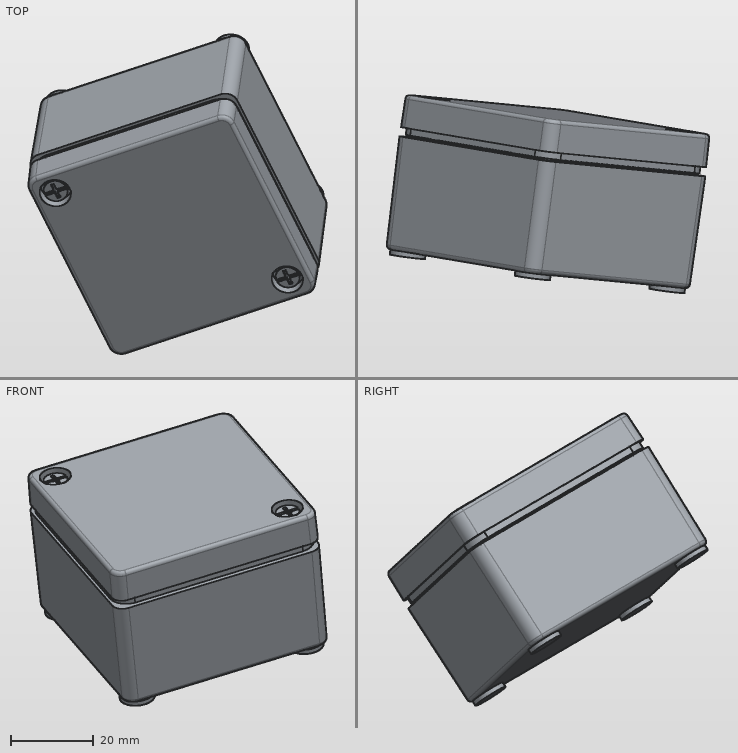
import cadquery as cq
box_side = 55.0
lid_side = 54.8
box_draft = 0.5
lid_draft = 0.8
corner_radius = 3.0
box_height = 27.6
box_bottom_fillet = 1.2
joint_height = 2.25
lid_height = 8.0
lid_top_fillet = 1.0

seal_inset = 0.55
seal_radius = 4.75
seal_foot_inset = 4.05
seal_foot_height = 0.55
pad_rise = 0.5
pad_end_distance = 5.05

screw_pitch = 43.0
head_diameter = 5.8
bore_diameter = 7.6
head_height = 2.3
head_recess = 0.9
slot_width = 0.8
slot_depth = 0.8
cross_slot_length = 4.05

foot_pitch = 45.1
foot_diameter = 8.7
foot_height = 1.25

roll = 28.7
pitch = -16.2
yaw = 18.3

lid_bottom = joint_height
lid_top = lid_bottom + lid_height
head_top = lid_top - head_recess
head_bottom = head_top - head_height
foot_bottom = -box_height - foot_height

half_screw_pitch = screw_pitch / 2
screw_places = [(-half_screw_pitch, half_screw_pitch), (half_screw_pitch, -half_screw_pitch)]
half_foot_pitch = foot_pitch / 2
foot_places = [(x, y) for x in (-half_foot_pitch, half_foot_pitch) for y in (-half_foot_pitch, half_foot_pitch)]


def rounded_block(side, radius, bottom, height, draft=0):
    """A square block with rounded upright edges, narrowing along its extrusion by the draft angle."""
    block = cq.Workplane("XY").workplane(offset=bottom).rect(side, side).extrude(height, taper=draft)
    return block.edges("not #Z").fillet(radius)


def make_box():
    block = rounded_block(box_side, corner_radius, 0, -box_height, box_draft)
    return block.faces("<Z").edges().fillet(box_bottom_fillet)


def make_pads():
    """Two crossing bars whose ends form the four side pads of the seal."""
    pad_length = box_side - 2 * pad_end_distance
    pad_span = box_side - 2 * seal_inset
    pad_height = lid_bottom + pad_rise - seal_foot_height
    plane = cq.Workplane("XY").workplane(offset=seal_foot_height)
    bar_along_x = plane.rect(pad_span, pad_length).extrude(pad_height)
    bar_along_y = plane.rect(pad_length, pad_span).extrude(pad_height)
    return bar_along_x.union(bar_along_y)


def make_seal():
    foot_side = box_side - 2 * seal_foot_inset
    foot = cq.Workplane("XY").rect(foot_side, foot_side).extrude(seal_foot_height)
    plate_side = box_side - 2 * seal_inset
    plate = rounded_block(plate_side, seal_radius, seal_foot_height, lid_bottom - seal_foot_height)
    return plate.union(foot).union(make_pads())


def make_lid():
    block = rounded_block(lid_side, corner_radius, lid_bottom, lid_height, lid_draft)
    block = block.faces(">Z").edges().fillet(lid_top_fillet)
    bores = (
        cq.Workplane("XY")
        .workplane(offset=head_bottom)
        .pushPoints(screw_places)
        .circle(bore_diameter / 2)
        .extrude(lid_top - head_bottom)
    )
    return block.cut(bores).cut(make_pads())


def make_screw(x, y):
    head = cq.Workplane("XY").workplane(offset=head_bottom).circle(head_diameter / 2).extrude(head_height)
    slot_plane = cq.Workplane("XY").workplane(offset=head_top - slot_depth)
    driver_slot = slot_plane.rect(head_diameter, slot_width).extrude(slot_depth)
    cross_slot = slot_plane.rect(slot_width, cross_slot_length).extrude(slot_depth)
    return head.cut(driver_slot).cut(cross_slot).translate((x, y, 0))


def make_foot(x, y):
    foot = cq.Workplane("XY").workplane(offset=foot_bottom).circle(foot_diameter / 2).extrude(foot_height)
    return foot.translate((x, y, 0))


def tilted(body):
    """The body's solid, turned from its upright place into the enclosure's attitude."""
    origin = (0, 0, 0)
    turned = body.rotate(origin, (1, 0, 0), roll).rotate(origin, (0, 1, 0), pitch)
    return turned.rotate(origin, (0, 0, 1), yaw).val()


bodies = [make_box(), make_seal(), make_lid()]
bodies += [make_screw(x, y) for x, y in screw_places]
bodies += [make_foot(x, y) for x, y in foot_places]

result = cq.Compound.makeCompound([tilted(body) for body in bodies])